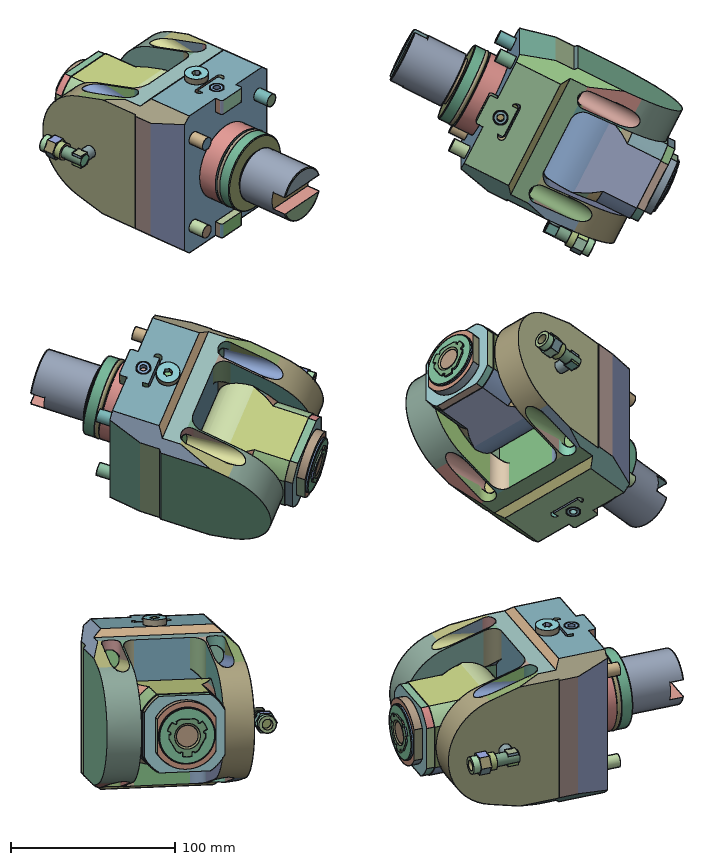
import cadquery as cq
import math


OVERALL_LENGTH = 181.7

BODY_HALF_HEIGHT = 50.0
FORK_HALF_HEIGHT = 45.5
FLANGE_HALF_WIDTH = 45.5
FORK_BACK = 47.0
FORK_FRONT = -44.7
STEP_X = -34.3
STEP_LENGTH = 4.0
TAPER_X = -21.8
FACE_HALF_WIDTH = 39.6
CORNER_TOP_Y = 35.0
CORNER_RUN = 5.8
CORNER_RISE = 5.1
PIVOT_X = -70.0
CHEEK_RADIUS = 37.5
CHEEK_ANGLE = 15.5

SLOT_HALF_WIDTH = 25.6
SLOT_CORNER = 8.2
SLOT_BORE_RADIUS = 31.2
BLOCK_HALF_HEIGHT = 24.2
WALL_CONTACT = 0.2
SLOT_END = PIVOT_X + BLOCK_HALF_HEIGHT - WALL_CONTACT
BLOCK_FRONT = -108.3
PLATE_FRONT = -113.4
PLATE_HALF_WIDTH = 25.0
PLATE_HALF_HEIGHT = 23.8
TURNED_RADIUS = 29.2
PLATE_TURNED_RADIUS = 28.7
TURNED_END = -85.2
FLARE_X = -78.7
FLARE_RADIUS = 32.0
FLARE_END = -68.5

COLLAR_FRONT = -118.8
COLLAR_RADIUS = 21.0
COLLAR_HALF_FLATS = 18.2
DISC_FRONT = -120.5
DISC_RADIUS = 17.6
DISC_CHAMFER = 0.5
NOSE_FRONT = -121.5
DRIVER_RADIUS = 11.5
DRIVER_HALF_FLATS = 10.5
TAB_RADIUS = 12.9
TAB_WIDTH = 5.8
NOTCH_RADIUS = 0.9
NOTCH_OFFSET = 3.6
NOTCH_DISTANCE = 10.7
RECESS_RADIUS = 8.0
RECESS_FLOOR_RADIUS = 6.7
RECESS_DEPTH = 0.7

SPIGOT_RADIUS = 25.0
SPIGOT_END = 23.0
GROOVE_START = 12.4
GROOVE_END = 15.8
GROOVE_RADIUS = 22.7
RING_SECTION = 1.36
RING_RADIUS = 24.0
NECK_RADIUS = 15.3
SHANK_START = 24.9
SHANK_RADIUS = 17.6
SHANK_END = NOSE_FRONT + OVERALL_LENGTH
SHANK_CHAMFER = 0.5
TENON_SLOT_DEPTH = 9.3
TENON_SLOT_WIDTH = 12.0

BOLT_RADIUS = 4.2
BOLT_LENGTH = 10.5
BOLT_Y = 31.0
BOLT_Z = 32.0
CHANNEL_Y = 32.5
CHANNEL_RADIUS = 5.8
CHANNEL_END = -43.8
DRILL_END = -45.0
DRILL_END_Z = 33.6
DRILL_TILT = 9
DRILL_LENGTH = 58.1

KEY_HALF_WIDTH = 9.8
KEY_HEIGHT = 10.0
KEY_END = 5.0
KEY_CORNER = 1.5
KEY_START = -14.0
POCKET_START = -15.3
RELIEF_RADIUS = 2.5
SCREW_X = -7.0
SCREW_RADIUS = 4.0
SCREW_HOLE_RADIUS = 4.5
SCREW_GAP_DEPTH = 1.8
SCREW_SOCKET_RADIUS = 2.2

PLUG_X = -23.0
PLUG_RADIUS = 7.3
PLUG_TOP = 54.0
SOCKET_CORNERS = 5.6
SOCKET_DEPTH = 3.6

ELBOW_Y = -54.9
TUBE_RADIUS = 4.0
FERRULE_RADIUS = 5.5
FERRULE_START = -81.4
NUT_START = -85.7
NUT_END = -92.5
FITTING_END = -97.0
NUT_FLATS = 12.0
ELBOW_BORE_RADIUS = 3.3
ELBOW_BORE_DEPTH = 5.5
PAD_HALF_HEIGHT = 4.4
PAD_LEFT = -73.4
PAD_RIGHT = -66.5
PAD_FRONT = -58.0
PAD_BACK = -51.8


def rod(x0, x1, radius, y=0.0, z=0.0):
    """Cylinder parallel to X between x0 and x1."""
    plane = cq.Plane(origin=(x0, y, z), xDir=(0, 1, 0), normal=(1, 0, 0))
    return cq.Workplane(plane).circle(radius).extrude(x1 - x0)


def block(x0, x1, y0, y1, z0, z1):
    """Axis-aligned box between two opposite corners."""
    return cq.Workplane("XY").box(x1 - x0, y1 - y0, z1 - z0, centered=False).translate((x0, y0, z0))


def upright(x, y, z0, z1, radius):
    """Cylinder parallel to Z between z0 and z1."""
    return cq.Workplane("XY", origin=(x, y, z0)).circle(radius).extrude(z1 - z0)


def mirrored_top_bottom(solid):
    """The solid together with its mirror image below the drive axis."""
    return solid.union(solid.mirror("XY"))


def fork_body():
    """Side outline, plan outline and end outline intersected."""
    slope = math.radians(CHEEK_ANGLE)
    tangent_x = PIVOT_X - CHEEK_RADIUS * math.sin(slope)
    tangent_z = CHEEK_RADIUS * math.cos(slope)
    shoulder_x = tangent_x + (FORK_HALF_HEIGHT - tangent_z) / math.tan(slope)
    side = (
        cq.Workplane("XZ", origin=(0, FORK_BACK, 0))
        .moveTo(0, BODY_HALF_HEIGHT)
        .lineTo(STEP_X + STEP_LENGTH, BODY_HALF_HEIGHT)
        .lineTo(STEP_X, FORK_HALF_HEIGHT)
        .lineTo(shoulder_x, FORK_HALF_HEIGHT)
        .lineTo(tangent_x, tangent_z)
        .threePointArc((PIVOT_X - CHEEK_RADIUS, 0), (tangent_x, -tangent_z))
        .lineTo(shoulder_x, -FORK_HALF_HEIGHT)
        .lineTo(STEP_X, -FORK_HALF_HEIGHT)
        .lineTo(STEP_X + STEP_LENGTH, -BODY_HALF_HEIGHT)
        .lineTo(0, -BODY_HALF_HEIGHT)
        .close()
        .extrude(2 * FORK_BACK)
    )
    cheek_tip = PIVOT_X - CHEEK_RADIUS
    back_chamfer = FORK_BACK - FLANGE_HALF_WIDTH
    plan = (
        cq.Workplane("XY", origin=(0, 0, -BODY_HALF_HEIGHT))
        .polyline([
            (cheek_tip, FORK_FRONT),
            (STEP_X, FORK_FRONT),
            (STEP_X, -FLANGE_HALF_WIDTH),
            (TAPER_X, -FLANGE_HALF_WIDTH),
            (0, -FACE_HALF_WIDTH),
            (0, FACE_HALF_WIDTH),
            (TAPER_X, FLANGE_HALF_WIDTH),
            (STEP_X, FLANGE_HALF_WIDTH),
            (STEP_X - back_chamfer, FORK_BACK),
            (cheek_tip, FORK_BACK),
        ])
        .close()
        .extrude(2 * BODY_HALF_HEIGHT)
    )
    bevel_z = BODY_HALF_HEIGHT - (FORK_BACK - CORNER_TOP_Y) * CORNER_RISE / CORNER_RUN
    end = (
        cq.Workplane("YZ")
        .polyline([
            (CORNER_TOP_Y, BODY_HALF_HEIGHT),
            (FORK_BACK, bevel_z),
            (FORK_BACK, -bevel_z),
            (CORNER_TOP_Y, -BODY_HALF_HEIGHT),
            (-CORNER_TOP_Y, -BODY_HALF_HEIGHT),
            (-FORK_BACK, -bevel_z),
            (-FORK_BACK, bevel_z),
            (-CORNER_TOP_Y, BODY_HALF_HEIGHT),
        ])
        .close()
        .extrude(cheek_tip)
    )
    return side.intersect(plan).intersect(end)


def fork_slot():
    """Through slot between the cheeks, its rounded corners opened up around the drive axis."""
    start = PIVOT_X - CHEEK_RADIUS
    slot = block(start, SLOT_END, -SLOT_HALF_WIDTH, SLOT_HALF_WIDTH, -BODY_HALF_HEIGHT, BODY_HALF_HEIGHT)
    bored = slot.intersect(rod(start, SLOT_END, SLOT_BORE_RADIUS))
    return slot.edges("|Z and >X").fillet(SLOT_CORNER).union(bored)


def bolt_channel(y):
    """Access slot above a tilted screwdriver bore in the upper half."""
    slot_end = CHANNEL_END - CHANNEL_RADIUS
    tilt = math.radians(DRILL_TILT)
    axis = cq.Vector(-math.cos(tilt), 0, math.sin(tilt))
    bottom = cq.Vector(DRILL_END, y, DRILL_END_Z)
    bore = cq.Solid.makeCylinder(CHANNEL_RADIUS, DRILL_LENGTH, bottom, axis)
    across = cq.Vector(math.sin(tilt), 0, math.cos(tilt))
    ledge = bottom + across * CHANNEL_RADIUS
    wall_base = bottom + axis * DRILL_LENGTH
    slot = (
        cq.Workplane("XZ", origin=(0, y + CHANNEL_RADIUS, 0))
        .polyline([
            (bottom.x, bottom.z),
            (wall_base.x, wall_base.z),
            (wall_base.x, BODY_HALF_HEIGHT),
            (CHANNEL_END, BODY_HALF_HEIGHT),
            (CHANNEL_END, ledge.z),
            (ledge.x, ledge.z),
        ])
        .close()
        .extrude(2 * CHANNEL_RADIUS)
    )
    round_end = upright(slot_end, y, 0, BODY_HALF_HEIGHT, CHANNEL_RADIUS)
    plan = block(wall_base.x, slot_end, y - CHANNEL_RADIUS, y + CHANNEL_RADIUS, 0, BODY_HALF_HEIGHT)
    return slot.intersect(plan.union(round_end)).union(cq.Workplane(bore))


def swivel_block():
    """Spindle block and front plate with turned corners."""
    half_y = SLOT_HALF_WIDTH
    half_z = BLOCK_HALF_HEIGHT
    solid = block(BLOCK_FRONT, PIVOT_X, -half_y, half_y, -half_z, half_z)
    barrel = cq.Workplane("XZ", origin=(PIVOT_X, half_y, 0)).circle(half_z).extrude(2 * half_y)
    plate = block(
        PLATE_FRONT, BLOCK_FRONT,
        -PLATE_HALF_WIDTH, PLATE_HALF_WIDTH,
        -PLATE_HALF_HEIGHT, PLATE_HALF_HEIGHT,
    )
    solid = solid.union(barrel).union(plate)

    full_radius = math.hypot(half_y, half_z)
    envelope = (
        cq.Workplane("XY")
        .polyline([
            (PLATE_FRONT, 0),
            (PLATE_FRONT, PLATE_TURNED_RADIUS),
            (BLOCK_FRONT, PLATE_TURNED_RADIUS),
            (BLOCK_FRONT, TURNED_RADIUS),
            (TURNED_END, TURNED_RADIUS),
            (FLARE_X, FLARE_RADIUS),
            (FLARE_END, full_radius),
            (PIVOT_X + half_z, full_radius),
            (PIVOT_X + half_z, 0),
        ])
        .close()
        .revolve(360, (0, 0, 0), (1, 0, 0))
    )
    return solid.intersect(envelope)


def spindle_nose():
    """Flatted collar, disc and three-tab driver with a shallow conical recess."""
    collar = rod(COLLAR_FRONT, PLATE_FRONT, COLLAR_RADIUS).intersect(block(
        COLLAR_FRONT, PLATE_FRONT,
        -COLLAR_HALF_FLATS, COLLAR_HALF_FLATS,
        -COLLAR_RADIUS, COLLAR_RADIUS,
    ))
    disc = rod(DISC_FRONT, COLLAR_FRONT, DISC_RADIUS).faces("<X").chamfer(DISC_CHAMFER)

    driver = rod(NOSE_FRONT, DISC_FRONT, DRIVER_RADIUS)
    tab_limit = rod(NOSE_FRONT, DISC_FRONT, TAB_RADIUS)
    half_tab = TAB_WIDTH / 2
    tab = block(NOSE_FRONT, DISC_FRONT, -half_tab, half_tab, -TAB_RADIUS, -RECESS_RADIUS).intersect(tab_limit)
    flat = block(NOSE_FRONT, DISC_FRONT, -TAB_RADIUS, TAB_RADIUS, DRIVER_HALF_FLATS, TAB_RADIUS)
    notches = rod(NOSE_FRONT, DISC_FRONT, NOTCH_RADIUS, NOTCH_OFFSET, -NOTCH_DISTANCE)
    notches = notches.union(notches.mirror("XZ"))
    for angle in (0, 120, 240):
        driver = driver.cut(flat.union(notches).rotate((0, 0, 0), (1, 0, 0), angle))
        driver = driver.union(tab.rotate((0, 0, 0), (1, 0, 0), angle))

    recess = cq.Solid.makeCone(
        RECESS_RADIUS, RECESS_FLOOR_RADIUS, RECESS_DEPTH,
        cq.Vector(NOSE_FRONT, 0, 0), cq.Vector(1, 0, 0),
    )
    return collar.union(disc).union(driver).cut(cq.Workplane(recess))


def drive_end():
    """Spigot with its sealing ring, neck and slotted drive shank."""
    spigot = rod(0, SPIGOT_END, SPIGOT_RADIUS).faces(">X").chamfer(SHANK_CHAMFER)
    groove = rod(GROOVE_START, GROOVE_END, SPIGOT_RADIUS).cut(rod(GROOVE_START, GROOVE_END, GROOVE_RADIUS))
    ring_x = GROOVE_END - RING_SECTION
    ring = cq.Solid.makeTorus(RING_RADIUS, RING_SECTION, cq.Vector(ring_x, 0, 0), cq.Vector(1, 0, 0))
    neck = rod(SPIGOT_END, SHANK_START, NECK_RADIUS)
    shank = rod(SHANK_START, SHANK_END, SHANK_RADIUS).faces("<X or >X").chamfer(SHANK_CHAMFER)
    half_slot = TENON_SLOT_WIDTH / 2
    tenon_slot = block(
        SHANK_END - TENON_SLOT_DEPTH, SHANK_END,
        -SHANK_RADIUS, SHANK_RADIUS,
        -half_slot, half_slot,
    )
    return spigot.cut(groove).union(cq.Workplane(ring)).union(neck).union(shank.cut(tenon_slot))


def key_pocket():
    """Pocket for the upper key with relieved inner corners."""
    floor = BODY_HALF_HEIGHT - KEY_HEIGHT
    pocket = block(POCKET_START, 0, -KEY_HALF_WIDTH, KEY_HALF_WIDTH, floor, BODY_HALF_HEIGHT)
    for y in (-KEY_HALF_WIDTH, KEY_HALF_WIDTH):
        relief_x = POCKET_START + RELIEF_RADIUS
        pocket = pocket.union(upright(relief_x, y, floor, BODY_HALF_HEIGHT, RELIEF_RADIUS))
    return pocket


def locating_key():
    """Upper key with a sunk socket screw."""
    floor = BODY_HALF_HEIGHT - KEY_HEIGHT
    key = block(KEY_START, KEY_END, -KEY_HALF_WIDTH, KEY_HALF_WIDTH, floor, BODY_HALF_HEIGHT)
    key = key.edges("|Z and >X").fillet(KEY_CORNER)
    gap_floor = BODY_HALF_HEIGHT - SCREW_GAP_DEPTH
    gap = upright(SCREW_X, 0, gap_floor, BODY_HALF_HEIGHT, SCREW_HOLE_RADIUS)
    head = upright(SCREW_X, 0, gap_floor, BODY_HALF_HEIGHT, SCREW_RADIUS)
    socket = upright(SCREW_X, 0, BODY_HALF_HEIGHT - SOCKET_DEPTH, BODY_HALF_HEIGHT, SCREW_SOCKET_RADIUS)
    return key.cut(gap.cut(head)).cut(socket)


def top_plug():
    """Round plug with a hexagon socket."""
    plug = upright(PLUG_X, 0, BODY_HALF_HEIGHT, PLUG_TOP, PLUG_RADIUS)
    socket = (
        cq.Workplane("XY", origin=(PLUG_X, 0, PLUG_TOP))
        .transformed(rotate=(0, 0, 90))
        .polygon(6, SOCKET_CORNERS)
        .extrude(-SOCKET_DEPTH)
    )
    return plug.cut(socket)


def coolant_elbow():
    """Elbow on the -Y cheek with a hexagon nut facing -X."""
    stem = cq.Workplane("XZ", origin=(PIVOT_X, FORK_FRONT, 0)).circle(TUBE_RADIUS)
    stem = stem.extrude(FORK_FRONT - ELBOW_Y)
    arm = rod(FERRULE_START, PIVOT_X + TUBE_RADIUS, TUBE_RADIUS, ELBOW_Y)
    pads = block(
        PAD_LEFT, PAD_RIGHT,
        PAD_FRONT, PAD_BACK,
        -PAD_HALF_HEIGHT, PAD_HALF_HEIGHT,
    )
    ferrule = rod(FITTING_END, FERRULE_START, FERRULE_RADIUS, ELBOW_Y)
    nut_corners = NUT_FLATS / math.cos(math.radians(30))
    nut_plane = cq.Plane(origin=(NUT_END, ELBOW_Y, 0), xDir=(0, 1, 0), normal=(1, 0, 0))
    nut = cq.Workplane(nut_plane).polygon(6, nut_corners).extrude(NUT_START - NUT_END)
    bore = rod(FITTING_END, FITTING_END + ELBOW_BORE_DEPTH, ELBOW_BORE_RADIUS, ELBOW_Y)
    return stem.union(arm).union(pads).union(ferrule).union(nut).cut(bore)


body = fork_body().cut(fork_slot())
for side_y in (-CHANNEL_Y, CHANNEL_Y):
    body = body.cut(mirrored_top_bottom(bolt_channel(side_y)))
body = body.cut(mirrored_top_bottom(key_pocket()))

result = body.union(swivel_block()).union(spindle_nose()).union(drive_end())
result = result.union(mirrored_top_bottom(locating_key()))
for bolt_y in (-BOLT_Y, BOLT_Y):
    for bolt_z in (-BOLT_Z, BOLT_Z):
        result = result.union(rod(0, BOLT_LENGTH, BOLT_RADIUS, bolt_y, bolt_z))
result = result.union(top_plug()).union(coolant_elbow())